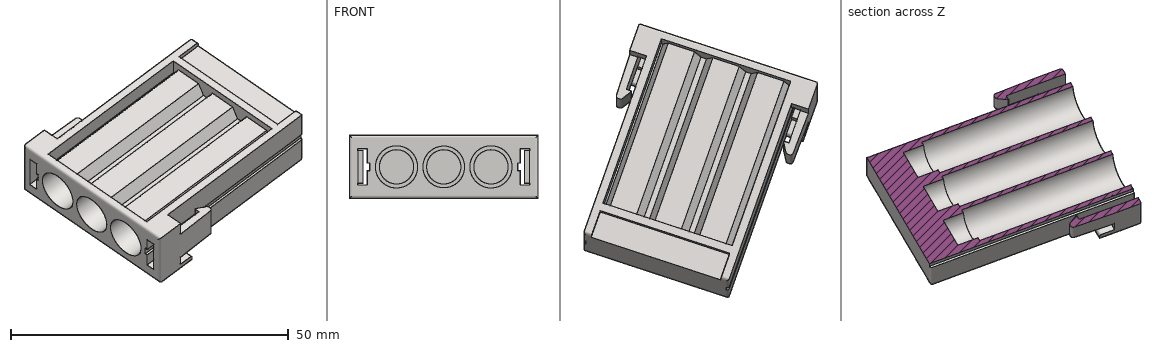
import cadquery as cq
import math

LENGTH_Y = 40.5
HEIGHT = 11.4
FLANGE_WIDTH = 34.0
FRONT_Y = -LENGTH_Y / 2
BACK_Y = LENGTH_Y / 2
TOP_Z = HEIGHT / 2
BOTTOM_Z = -HEIGHT / 2
FLANGE_X = FLANGE_WIDTH / 2
EDGE_RADIUS = 0.5

BODY_WIDTH = 27.6
BODY_X = BODY_WIDTH / 2
WALL = 1.5
FLANGE_DEPTH = 5.4
FLANGE_BACK_Y = FRONT_Y + FLANGE_DEPTH

CAVITY_X = BODY_X - WALL
LEDGE_LENGTH = 5.0
LEDGE_DEPTH = 0.9
LEDGE_FRONT_Y = BACK_Y - LEDGE_LENGTH
CAVITY_FRONT_Y = FRONT_Y + WALL
CAVITY_BACK_Y = LEDGE_FRONT_Y - WALL
CAVITY_LENGTH = CAVITY_BACK_Y - CAVITY_FRONT_Y

PITCH = 8.5
TUBE_CENTRES = (-PITCH, 0.0, PITCH)
HEX_SIDE = 5.0
SLOPE = math.tan(math.radians(60))
TUBE_TOP_Z = HEX_SIDE * SLOPE / 2
TUBE_FLANK_WIDTH = 1.24
FLOOR_Z = TUBE_TOP_Z - TUBE_FLANK_WIDTH * SLOPE

RAIL_WIDTH = 0.33
RAIL_INNER_X = CAVITY_X - RAIL_WIDTH
RAIL_TOP_Z = TUBE_TOP_Z - (RAIL_INNER_X - PITCH - HEX_SIDE / 2) * SLOPE

OUTER_BORE_DIAMETER = 7.6
CENTRE_BORE_DIAMETER = 7.5
INNER_BORE_DIAMETER = 6.17
WIDE_BORE_DEPTH = 30.0
FULL_BORE_DEPTH = 34.0

GROOVE_DEPTH = 0.45
GROOVE_HEIGHT = 1.36
WINDOW_HEIGHT = 6.5

LATCH_HEIGHT = 5.95
LATCH_INNER_X = 15.46
LATCH_TIP_X = 16.8
LATCH_TIP_Y = -6.4
LATCH_TIP_INNER_X = 15.7
HOOK_X = 14.5
HOOK_CATCH_Y = -8.5
HOOK_LAND = 0.15
LATCH_TIP_RADIUS = 0.54

TAB_LENGTH = 3.0
TAB_HEIGHT = 0.95
TAB_END_RADIUS = 0.5


def block(x0, x1, y0, y1, z0, z1):
    """Box given by its limits along each axis."""
    return cq.Workplane("XY").box(x1 - x0, y1 - y0, z1 - z0, centered=False).translate((x0, y0, z0))


def on_both_sides(shape):
    """Join a shape on the +X side with its mirror image on the -X side."""
    return shape.union(shape.mirror("YZ"))


def make_flange():
    flange = block(-FLANGE_X, FLANGE_X, FRONT_Y, FLANGE_BACK_Y, BOTTOM_Z, TOP_Z)
    return flange.faces("<Y").edges().fillet(EDGE_RADIUS)


def make_body():
    body = block(-BODY_X, BODY_X, FLANGE_BACK_Y, BACK_Y, BOTTOM_Z, TOP_Z)
    return body.faces(">Y").edges().fillet(EDGE_RADIUS)


def make_tube_ridge(centre_x):
    """Upper part of one hexagonal tube, from the cavity floor to its flat top."""
    top_half = HEX_SIDE / 2
    foot_half = top_half + TUBE_FLANK_WIDTH
    outline = [
        (centre_x - foot_half, FLOOR_Z),
        (centre_x - top_half, TUBE_TOP_Z),
        (centre_x + top_half, TUBE_TOP_Z),
        (centre_x + foot_half, FLOOR_Z),
    ]
    plane = cq.Workplane("XZ", origin=(0, CAVITY_BACK_Y, 0))
    return plane.polyline(outline).close().extrude(CAVITY_LENGTH)


def make_cavity():
    """Space above the tubes, to be removed from the housing."""
    cavity = block(-CAVITY_X, CAVITY_X, CAVITY_FRONT_Y, CAVITY_BACK_Y, FLOOR_Z, TOP_Z)
    for centre_x in TUBE_CENTRES:
        cavity = cavity.cut(make_tube_ridge(centre_x))
    rail = block(RAIL_INNER_X, CAVITY_X, CAVITY_FRONT_Y, CAVITY_BACK_Y, FLOOR_Z, RAIL_TOP_Z)
    return cavity.cut(on_both_sides(rail))


def make_ledge():
    return block(-CAVITY_X, CAVITY_X, LEDGE_FRONT_Y, BACK_Y, TOP_Z - LEDGE_DEPTH, TOP_Z)


def make_bore(centre_x):
    """Wide bore followed by a narrower blind end."""
    diameter = OUTER_BORE_DIAMETER if centre_x else CENTRE_BORE_DIAMETER
    front = cq.Workplane("XZ", origin=(centre_x, FRONT_Y, 0))
    wide = front.circle(diameter / 2).extrude(-WIDE_BORE_DEPTH)
    narrow = front.circle(INNER_BORE_DIAMETER / 2).extrude(-FULL_BORE_DEPTH)
    return wide.union(narrow)


def make_groove():
    """Groove along the whole +X side, running on through the flange."""
    half = GROOVE_HEIGHT / 2
    return block(BODY_X - GROOVE_DEPTH, BODY_X, FRONT_Y, BACK_Y, -half, half)


def make_window():
    """Opening through the flange in line with the latch hook."""
    half = WINDOW_HEIGHT / 2
    return block(BODY_X, LATCH_INNER_X, FRONT_Y, FLANGE_BACK_Y, -half, half)


def make_latch():
    """Tapered latch arm on the +X side with an inward hook and a rounded tip."""
    outline = [
        (LATCH_INNER_X, FLANGE_BACK_Y),
        (FLANGE_X, FLANGE_BACK_Y),
        (LATCH_TIP_X, LATCH_TIP_Y),
        (LATCH_TIP_INNER_X, LATCH_TIP_Y),
        (HOOK_X, HOOK_CATCH_Y + HOOK_LAND),
        (HOOK_X, HOOK_CATCH_Y),
        (LATCH_INNER_X, HOOK_CATCH_Y),
    ]
    plane = cq.Workplane("XY", origin=(0, 0, -LATCH_HEIGHT / 2))
    latch = plane.polyline(outline).close().extrude(LATCH_HEIGHT)
    return latch.faces(">Y").edges("|Z").fillet(LATCH_TIP_RADIUS)


def make_tab():
    """Tab behind the flange on the +X side, with its upper end edge rounded."""
    tab_end_y = FLANGE_BACK_Y + TAB_LENGTH
    tab = block(BODY_X, FLANGE_X, FLANGE_BACK_Y, tab_end_y, BOTTOM_Z, BOTTOM_Z + TAB_HEIGHT)
    return tab.faces(">Y").edges(">Z").fillet(TAB_END_RADIUS)


result = make_flange().union(make_body())
result = result.cut(make_cavity()).cut(make_ledge())
for bore_x in TUBE_CENTRES:
    result = result.cut(make_bore(bore_x))
result = result.cut(on_both_sides(make_groove()))
result = result.cut(on_both_sides(make_window()))
result = result.union(on_both_sides(make_latch()))
result = result.union(on_both_sides(make_tab()))